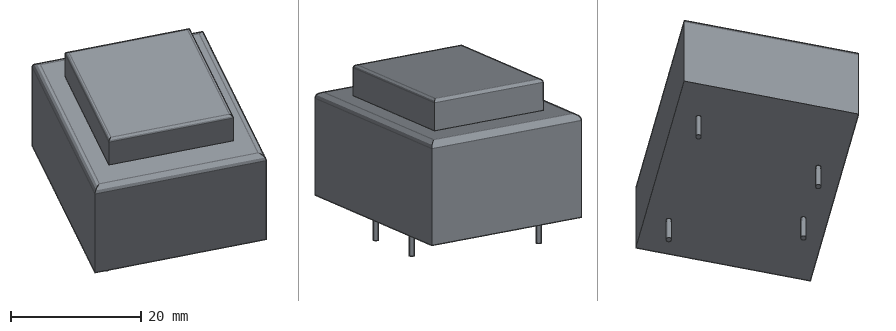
import cadquery as cq

BLOCK_LENGTH = 32.5
BLOCK_WIDTH = 27.5
BLOCK_HEIGHT = 16.5
BLOCK_EDGE_RADIUS = 1.0

CAP_LENGTH = 22.6
CAP_WIDTH = 20.0
TOTAL_HEIGHT = 26.5
CAP_EDGE_RADIUS = 0.5

PIN_DIAMETER = 0.8
PIN_PITCH = 10.0
PIN_LENGTH = PIN_PITCH / 2
ROW_Y = PIN_PITCH
FRONT_PIN_X = PIN_PITCH
BACK_PIN_X = PIN_PITCH / 2

CAP_HEIGHT = TOTAL_HEIGHT - BLOCK_HEIGHT - PIN_LENGTH


def rounded_top_box(length, width, height, edge_radius):
    """Box standing on Z = 0, centred on X and Y, with its top edges rounded."""
    box = cq.Workplane("XY").box(length, width, height, centered=(True, True, False))
    return box.faces(">Z").edges().fillet(edge_radius)


def make_housing():
    """Block and raised cap as one solid."""
    block = rounded_top_box(BLOCK_LENGTH, BLOCK_WIDTH, BLOCK_HEIGHT, BLOCK_EDGE_RADIUS)
    cap = rounded_top_box(CAP_LENGTH, CAP_WIDTH, CAP_HEIGHT, CAP_EDGE_RADIUS)
    return block.union(cap.translate((0, 0, BLOCK_HEIGHT)))


def make_pin(x, y):
    """Round pin hanging from the underside of the housing."""
    return cq.Workplane("XY").center(x, y).circle(PIN_DIAMETER / 2).extrude(-PIN_LENGTH)


housing = make_housing()

pins = []
for row_y, pin_x in ((-ROW_Y, FRONT_PIN_X), (ROW_Y, BACK_PIN_X)):
    for side in (-1, 1):
        pins.append(make_pin(side * pin_x, row_y))

result = cq.Compound.makeCompound([housing.val(), *[pin.val() for pin in pins]])